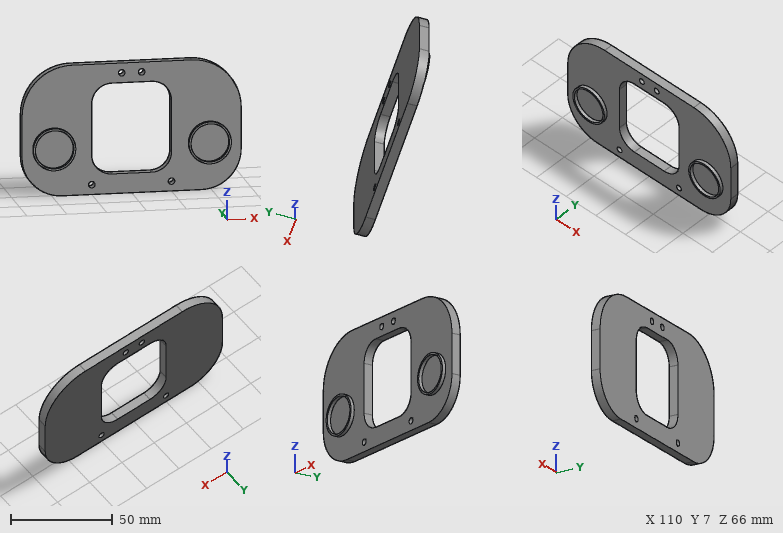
import cadquery as cq

plate_width = 110.0
plate_height = 66.0
total_depth = 7.0
ring_height = 2.0
plate_thickness = total_depth - ring_height
top_corner_radius = 25.0
bottom_corner_radius = 20.0

window_width = 40.0
window_margin = 10.0
window_height = plate_height - 2 * window_margin
window_corner_radius = 10.0

hole_diameter = 3.2
hole_z = plate_height / 2 - window_margin / 2
top_hole_spacing = 10.0
bottom_hole_spacing = window_width

ring_outer_diameter = 21.2
ring_inner_diameter = 19.2
ring_spacing = 78.1
ring_z = -9.0
ring_centers = [(-ring_spacing / 2, ring_z), (ring_spacing / 2, ring_z)]


def front_plane():
    """Workplane on the front face: local x = X, local y = Z, normal = -Y."""
    return cq.Workplane("XZ")


def make_plate():
    plate = front_plane().rect(plate_width, plate_height).extrude(-plate_thickness)
    plate = plate.edges("|Y and >Z").fillet(top_corner_radius)
    return plate.edges("|Y and <Z").fillet(bottom_corner_radius)


def make_window():
    window = front_plane().rect(window_width, window_height).extrude(-plate_thickness)
    return window.edges("|Y").fillet(window_corner_radius)


def make_screw_holes():
    centers = []
    for side in (-1, 1):
        centers.append((side * top_hole_spacing / 2, hole_z))
        centers.append((side * bottom_hole_spacing / 2, -hole_z))
    return front_plane().pushPoints(centers).circle(hole_diameter / 2).extrude(-plate_thickness)


def make_rings():
    rings = front_plane().pushPoints(ring_centers).circle(ring_outer_diameter / 2).extrude(ring_height)
    bores = front_plane().pushPoints(ring_centers).circle(ring_inner_diameter / 2).extrude(ring_height)
    return rings.cut(bores)


result = make_plate().cut(make_window()).cut(make_screw_holes()).union(make_rings())